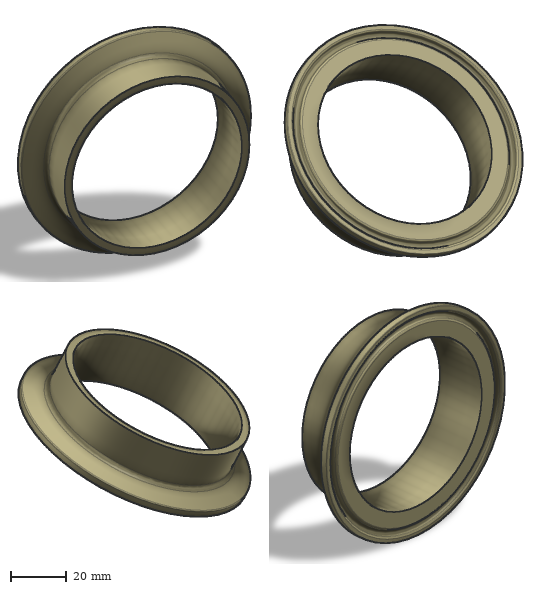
import cadquery as cq
import math

length = 21.5
flange_radius = 45.5
tube_radius = 36.5
bore_radius = 33.5

rim_width = 2.85
cone_angle = 20.0
rim_round = 0.5
face_edge_round = 0.2
neck_fillet = 2.0

groove_radius = 41.75
groove_half_width = 2.05
lip_radius = 0.85
groove_wall_angle = 75.0
plane_tolerance = 0.1


def ring_edges_at(x):
    """Selector for the circular edges lying in the plane at the given X."""
    reach = 2 * flange_radius
    return cq.selectors.BoxSelector(
        (x - plane_tolerance, -reach, -reach),
        (x + plane_tolerance, reach, reach),
        boundingbox=True,
    )


def make_body():
    """Revolve the flange and tube outline, then round its outer edges."""
    cone_end = rim_width + (flange_radius - tube_radius) * math.tan(math.radians(cone_angle))
    outline = (
        cq.Workplane("XY")
        .moveTo(0, bore_radius)
        .lineTo(0, flange_radius)
        .lineTo(rim_width, flange_radius)
        .lineTo(cone_end, tube_radius)
        .lineTo(length, tube_radius)
        .lineTo(length, bore_radius)
        .close()
    )
    body = outline.revolve(360, (0, 0, 0), (1, 0, 0))

    neck_edge = ring_edges_at(cone_end)
    rim_edge = ring_edges_at(rim_width)
    body = body.edges(neck_edge).fillet(neck_fillet)
    body = body.edges(rim_edge).fillet(rim_round)
    largest = cq.selectors.RadiusNthSelector(-1)
    return body.faces("<X").edges(largest).fillet(face_edge_round)


def make_groove():
    """Ring-shaped cutter for the gasket groove in the sealing face."""
    wall = math.radians(groove_wall_angle)
    lip_width = lip_radius * math.sin(wall)
    lip_depth = lip_radius * (1 - math.cos(wall))
    bottom_half_width = groove_half_width - lip_width
    bottom_radius = bottom_half_width / math.sin(wall)
    depth = lip_depth + bottom_radius * (1 - math.cos(wall))
    lip_mid_offset = groove_half_width - lip_radius * math.sin(wall / 2)
    lip_mid_depth = lip_radius * (1 - math.cos(wall / 2))
    profile = (
        cq.Workplane("XY")
        .moveTo(0, groove_radius - groove_half_width)
        .threePointArc(
            (lip_mid_depth, groove_radius - lip_mid_offset),
            (lip_depth, groove_radius - bottom_half_width),
        )
        .threePointArc(
            (depth, groove_radius),
            (lip_depth, groove_radius + bottom_half_width),
        )
        .threePointArc(
            (lip_mid_depth, groove_radius + lip_mid_offset),
            (0, groove_radius + groove_half_width),
        )
        .close()
    )
    return profile.revolve(360, (0, 0, 0), (1, 0, 0))


result = make_body().cut(make_groove())